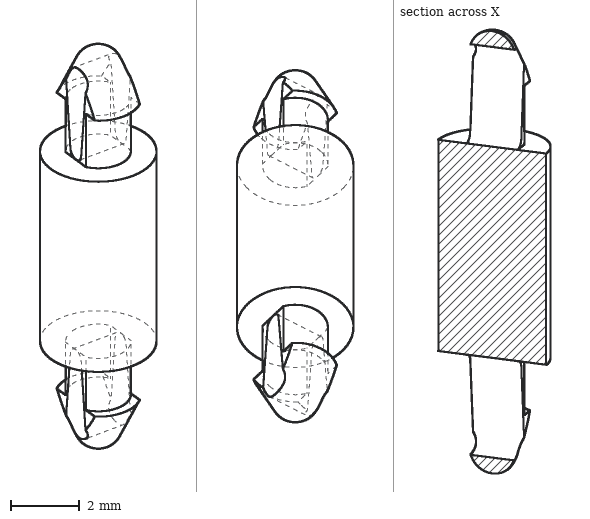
import cadquery as cq
import math

total_length = 13.6
body_diameter = 3.4
body_length = 6.5

stem_radius = 0.95
barb_radius = 1.25
barb_length = 1.26
dome_radius = 0.68
dome_height = 0.48
flat_width = 1.6

slot_root_radius = 0.27
slot_tip_radius = 0.49
slot_tip_wall = 0.5

tip_z = total_length / 2
shoulder_z = body_length / 2
dome_z = tip_z - dome_height
barb_z = dome_z - barb_length
slot_root_z = shoulder_z + slot_root_radius
slot_tip_z = tip_z - slot_tip_wall - slot_tip_radius


def make_pin_blank():
    """Revolved stem, barbed cone and domed tip, with its foot sunk to mid-body."""
    dome_sphere_radius = (dome_radius**2 + dome_height**2) / (2 * dome_height)
    dome_center_z = tip_z - dome_sphere_radius
    half_angle = math.asin(dome_radius / dome_sphere_radius) / 2
    dome_middle = (
        dome_sphere_radius * math.sin(half_angle),
        dome_center_z + dome_sphere_radius * math.cos(half_angle),
    )
    return (
        cq.Workplane("XZ")
        .lineTo(stem_radius, 0)
        .lineTo(stem_radius, barb_z)
        .lineTo(barb_radius, barb_z)
        .lineTo(dome_radius, dome_z)
        .threePointArc(dome_middle, (0, tip_z))
        .close()
        .revolve(360, (0, 0), (0, 1))
    )


def make_slot():
    """Slot through Y: two round ends joined by their common tangent lines."""
    tilt = math.asin((slot_tip_radius - slot_root_radius) / (slot_tip_z - slot_root_z))
    across = math.cos(tilt)
    along = math.sin(tilt)
    root_x = slot_root_radius * across
    root_tangent_z = slot_root_z - slot_root_radius * along
    tip_x = slot_tip_radius * across
    tip_tangent_z = slot_tip_z - slot_tip_radius * along
    return (
        cq.Workplane("XZ")
        .moveTo(root_x, root_tangent_z)
        .lineTo(tip_x, tip_tangent_z)
        .threePointArc((0, slot_tip_z + slot_tip_radius), (-tip_x, tip_tangent_z))
        .lineTo(-root_x, root_tangent_z)
        .threePointArc((0, shoulder_z), (root_x, root_tangent_z))
        .close()
        .extrude(body_diameter / 2, both=True)
    )


def make_pin():
    flats = cq.Workplane("XY").box(2 * barb_radius, flat_width, total_length)
    return make_pin_blank().intersect(flats).cut(make_slot())


body = cq.Workplane("XY").cylinder(body_length, body_diameter / 2)
upper_pin = make_pin()
lower_pin = upper_pin.mirror("XY")

result = body.union(upper_pin).union(lower_pin)